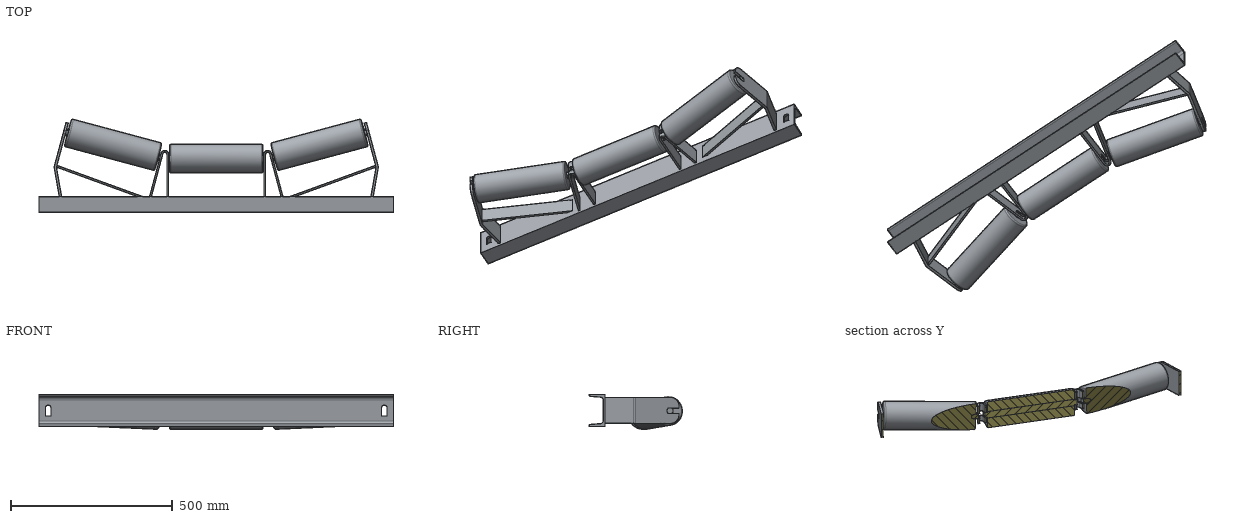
import cadquery as cq
import math


BEAM_LENGTH = 1100.0
BEAM_HEIGHT = 100.0
BEAM_DEPTH = 50.0
WEB = 6.0
FLANGE = 8.5
FLANGE_TAPER = 0.08
ROOT_RADIUS = 8.5
TIP_RADIUS = 4.5

SLOT_INSET = 29.0
SLOT_WIDTH = 16.0
SLOT_BOTTOM = 33.0
SLOT_TOP = 66.0

ROLLER_LEAN = 15.0
END_PLATE = 8.0
END_PLATE_HEIGHT = 80.0
END_PLATE_CENTRE_Z = BEAM_HEIGHT / 2
END_FOOT_X = -487.0
END_FOOT_LEAN = 10.0
END_BEND_Y = 141.0
END_BEND_RADIUS = 15.0
END_TOP_Y = 279.0
END_CORNER_RADIUS = 24.0
GUSSET = 6.0
GUSSET_HEIGHT = 54.0
GUSSET_LEAN = 20.0

INNER_PLATE = 6.0
INNER_PLATE_HEIGHT = 59.0
UNDERSIDE_Z = END_PLATE_CENTRE_Z - END_PLATE_HEIGHT / 2
INNER_PLATE_CENTRE_Z = UNDERSIDE_Z + INNER_PLATE_HEIGHT / 2
INNER_FACE_X = -147.0
INNER_TOP_Y = 192.0
INNER_BEND_RADIUS = 12.0

ROLLER_DIAMETER = 89.0
ROLLER_LENGTH = 289.0
ROLLER_EDGE_RADIUS = 4.0
CENTRE_ROLLER_Y = 167.0
ROLLER_DROP = 9.0
CENTRE_ROLLER_Z = ROLLER_DIAMETER / 2 - ROLLER_DROP
SIDE_ROLLER_X = -320.0
SIDE_ROLLER_Y = 210.0
SIDE_ROLLER_Z = 42.0
SIDE_ROLLER_DIP = 2.5
AXLE_DIAMETER = 20.0
AXLE_FLATS = 16.0
AXLE_OVERHANG = 9.0
AXLE_OUTER_OVERHANG = 14.0
AXLE_SLOT_EXTENSION = 8.0


def along(point, direction, distance):
    return (point[0] + direction[0] * distance, point[1] + direction[1] * distance)


def leaning(degrees):
    """Unit vector along +Y, leaning towards +X."""
    angle = math.radians(degrees)
    return (math.sin(angle), math.cos(angle))


def right_of(direction):
    return (direction[1], -direction[0])


def plate_prism(outline, height, centre_z):
    """Extrude an XY outline in Z, centred on the given height."""
    return outline.extrude(height).translate((0, 0, centre_z - height / 2))


def both_sides(shape):
    return [shape, shape.mirror("YZ")]



def make_beam():
    half_depth = BEAM_DEPTH / 2
    tip = FLANGE - FLANGE_TAPER * half_depth
    root = FLANGE + FLANGE_TAPER * (half_depth - WEB)
    web_y = BEAM_DEPTH - WEB
    beam = (
        cq.Workplane("YZ")
        .polyline([
            (0, 0), (BEAM_DEPTH, 0), (BEAM_DEPTH, BEAM_HEIGHT), (0, BEAM_HEIGHT),
            (0, BEAM_HEIGHT - tip), (web_y, BEAM_HEIGHT - root), (web_y, root), (0, tip),
        ])
        .close()
        .extrude(BEAM_LENGTH)
        .translate((-BEAM_LENGTH / 2, 0, 0))
    )
    inner_edges = beam.edges("|X").edges(cq.selectors.BoxSelector(
        (-BEAM_LENGTH, web_y - WEB / 2, tip), (BEAM_LENGTH, web_y + WEB / 2, BEAM_HEIGHT - tip)))
    beam = beam.newObject(inner_edges.vals()).fillet(ROOT_RADIUS)
    tip_edges = beam.edges("|X").edges(cq.selectors.BoxSelector(
        (-BEAM_LENGTH, -WEB / 2, tip / 2), (BEAM_LENGTH, WEB / 2, BEAM_HEIGHT - tip / 2)))
    beam = beam.newObject(tip_edges.vals()).fillet(TIP_RADIUS)
    for slot in both_sides(make_mounting_slot()):
        beam = beam.cut(slot)
    return beam


def make_mounting_slot():
    """Slot with a flat bottom and a round top, through the web."""
    x = SLOT_INSET - BEAM_LENGTH / 2
    radius = SLOT_WIDTH / 2
    shoulder = SLOT_TOP - radius
    return (
        cq.Workplane("XZ")
        .moveTo(x - radius, SLOT_BOTTOM)
        .lineTo(x - radius, shoulder)
        .threePointArc((x, SLOT_TOP), (x + radius, shoulder))
        .lineTo(x + radius, SLOT_BOTTOM)
        .close()
        .extrude(-2 * BEAM_DEPTH)
    )


def make_end_bracket():
    """Plate bent outwards then inwards, with its gusset back to the beam."""
    lower = leaning(-END_FOOT_LEAN)
    upper = leaning(ROLLER_LEAN)
    foot = (END_FOOT_X, BEAM_DEPTH)
    bend = along(foot, lower, (END_BEND_Y - BEAM_DEPTH) / lower[1])
    top = along(bend, upper, (END_TOP_Y - END_BEND_Y) / upper[1])
    half_turn = math.radians(END_FOOT_LEAN + ROLLER_LEAN) / 2
    across_bend = right_of(leaning((ROLLER_LEAN - END_FOOT_LEAN) / 2))
    inner_bend = along(bend, across_bend, END_PLATE / math.cos(half_turn))
    inner_foot = along(foot, (1, 0), END_PLATE / lower[1])
    inner_top = along(top, right_of(upper), END_PLATE)
    outline = cq.Workplane("XY").polyline([foot, bend, top, inner_top, inner_bend, inner_foot]).close()
    bracket = plate_prism(outline, END_PLATE_HEIGHT, END_PLATE_CENTRE_Z)
    outer_edge = cq.selectors.NearestToPointSelector((*bend, END_PLATE_CENTRE_Z))
    inner_edge = cq.selectors.NearestToPointSelector((*inner_bend, END_PLATE_CENTRE_Z))
    bracket = bracket.edges("|Z").edges(outer_edge).fillet(END_BEND_RADIUS)
    bracket = bracket.edges("|Z").edges(inner_edge).fillet(END_BEND_RADIUS - END_PLATE)
    end_corners = bracket.faces(">Y").edges("not |Z").edges(">Z or <Z")
    bracket = bracket.newObject(end_corners.vals()).fillet(END_CORNER_RADIUS)
    return bracket.union(make_gusset(inner_bend))


def make_gusset(head):
    """Strip from the inside of the bend down to the back of the beam."""
    run = leaning(90 + GUSSET_LEAN)
    thickness_y = GUSSET / math.cos(math.radians(GUSSET_LEAN))
    edges = []
    for side in (thickness_y, 0):
        start = along((head[0], head[1] + side), run, -GUSSET / 2)
        edges.append((start, along(start, run, (BEAM_DEPTH - start[1]) / run[1])))
    (upper_start, upper_end), (lower_start, lower_end) = edges
    outline = cq.Workplane("XY").polyline([upper_start, upper_end, lower_end, lower_start]).close()
    return plate_prism(outline, GUSSET_HEIGHT, END_PLATE_CENTRE_Z)


def make_inner_bracket():
    """Plate folded over into two legs, one upright and one leaning."""
    centre = (INNER_FACE_X - INNER_BEND_RADIUS, INNER_TOP_Y - INNER_BEND_RADIUS)
    leg = leaning(ROLLER_LEAN)
    outwards = leaning(ROLLER_LEAN - 90)
    crest = leaning(ROLLER_LEAN / 2)

    def fold(radius):
        leg_top = along(centre, outwards, radius)
        leg_foot = along(leg_top, leg, (BEAM_DEPTH - leg_top[1]) / leg[1])
        upright = (centre[0] + radius, centre[1])
        return leg_foot, leg_top, along(centre, crest, radius), upright

    foot, leg_top, outer_crest, upright = fold(INNER_BEND_RADIUS)
    in_foot, in_leg_top, inner_crest, in_upright = fold(INNER_BEND_RADIUS - INNER_PLATE)
    outline = (
        cq.Workplane("XY")
        .moveTo(*foot)
        .lineTo(*leg_top)
        .threePointArc(outer_crest, upright)
        .lineTo(upright[0], BEAM_DEPTH)
        .lineTo(in_upright[0], BEAM_DEPTH)
        .lineTo(*in_upright)
        .threePointArc(inner_crest, in_leg_top)
        .lineTo(*in_foot)
        .close()
    )
    return plate_prism(outline, INNER_PLATE_HEIGHT, INNER_PLATE_CENTRE_Z)


def make_axle_slot(left_overhang, right_overhang):
    """Round-bottomed slot, open towards +Y, that an axle drops into."""
    left = -ROLLER_LENGTH / 2 - left_overhang - AXLE_SLOT_EXTENSION
    right = ROLLER_LENGTH / 2 + right_overhang + AXLE_SLOT_EXTENSION
    seat = axle_bar(left, right)
    opening = (
        cq.Workplane("XY")
        .box(right - left, ROLLER_DIAMETER, AXLE_FLATS, centered=(False, False, True))
        .translate((left, 0, 0))
    )
    return seat.union(opening)


def make_frame():
    frame = make_beam()
    for bracket in both_sides(make_end_bracket()) + both_sides(make_inner_bracket()):
        frame = frame.union(bracket)
    side_slot = at_side_roller(make_axle_slot(AXLE_OUTER_OVERHANG, AXLE_OVERHANG))
    centre_slot = at_centre_roller(make_axle_slot(AXLE_OVERHANG, AXLE_OVERHANG))
    for slot in both_sides(side_slot) + [centre_slot]:
        frame = frame.cut(slot)
    return frame



def axle_bar(left, right):
    """Round bar along X with two flats, between two X positions."""
    bar = cq.Workplane("YZ").circle(AXLE_DIAMETER / 2).extrude(right - left)
    flats = cq.Workplane("YZ").rect(AXLE_DIAMETER, AXLE_FLATS).extrude(right - left)
    return bar.intersect(flats).translate((left, 0, 0))


def make_axle(left_overhang, right_overhang):
    half = ROLLER_LENGTH / 2
    middle = cq.Workplane("YZ", origin=(-half, 0, 0)).circle(AXLE_DIAMETER / 2).extrude(ROLLER_LENGTH)
    return middle.union(axle_bar(-half - left_overhang, half + right_overhang))


def make_roller():
    return (
        cq.Workplane("YZ", origin=(-ROLLER_LENGTH / 2, 0, 0))
        .circle(ROLLER_DIAMETER / 2)
        .extrude(ROLLER_LENGTH)
        .edges()
        .fillet(ROLLER_EDGE_RADIUS)
        .faces(">X")
        .workplane()
        .hole(AXLE_DIAMETER)
    )


def at_centre_roller(shape):
    return shape.translate((0, CENTRE_ROLLER_Y, CENTRE_ROLLER_Z))


def at_side_roller(shape):
    """Dip the inner end, lean the roller into the trough and move it to the -X side."""
    dipped = shape.rotate((0, 0, 0), (0, 1, 0), SIDE_ROLLER_DIP)
    leaned = dipped.rotate((0, 0, 0), (0, 0, 1), -ROLLER_LEAN)
    return leaned.translate((SIDE_ROLLER_X, SIDE_ROLLER_Y, SIDE_ROLLER_Z))


frame = make_frame()
rollers = both_sides(at_side_roller(make_roller())) + [at_centre_roller(make_roller())]
axles = both_sides(at_side_roller(make_axle(AXLE_OUTER_OVERHANG, AXLE_OVERHANG)))
axles.append(at_centre_roller(make_axle(AXLE_OVERHANG, AXLE_OVERHANG)))

result = cq.Compound.makeCompound([body.val() for body in [frame] + rollers + axles])